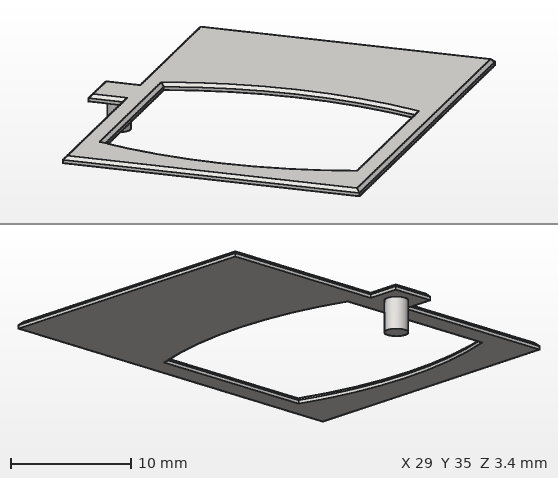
import cadquery as cq
import math

plate_width = 26.0
plate_length = 35.0
plate_thickness = 0.6
edge_chamfer = 0.3

tab_reach = 3.0
tab_width = 4.0
tab_y = -0.075

pin_diameter = 2.0
pin_length = 2.8
pin_inset = 2.0

side_margin = 2.0
end_margin = 2.925
window_length = 19.0
window_arc_radius = 35.0

plate_left = -plate_width / 2
tab_end = plate_left - tab_reach


def make_blank():
    """Plate and tab as one flat piece; the tab strip starts at the plate centre so the two overlap."""
    plate = cq.Workplane("XY").rect(plate_width, plate_length).extrude(plate_thickness)
    tab = (
        cq.Workplane("XY")
        .center(tab_end / 2, tab_y)
        .rect(-tab_end, tab_width)
        .extrude(plate_thickness)
    )
    return plate.union(tab)


def cut_window(blank):
    """Through opening whose two ends bow outward as circular arcs."""
    half_width = plate_width / 2 - side_margin
    arc_rise = window_arc_radius - math.sqrt(window_arc_radius**2 - half_width**2)
    lower_crest = -plate_length / 2 + end_margin
    upper_crest = lower_crest + window_length
    lower_corner = lower_crest + arc_rise
    upper_corner = upper_crest - arc_rise
    window = (
        cq.Workplane("XY")
        .moveTo(-half_width, lower_corner)
        .threePointArc((0, lower_crest), (half_width, lower_corner))
        .lineTo(half_width, upper_corner)
        .threePointArc((0, upper_crest), (-half_width, upper_corner))
        .close()
        .extrude(plate_thickness)
    )
    return blank.cut(window)


def make_pin():
    """Round pin reaching down from the underside of the tab."""
    return (
        cq.Workplane("XY")
        .center(tab_end + pin_inset, tab_y)
        .circle(pin_diameter / 2)
        .extrude(-pin_length)
    )


frame = cut_window(make_blank())
frame = frame.faces(">Z").edges().chamfer(edge_chamfer)
result = frame.union(make_pin())